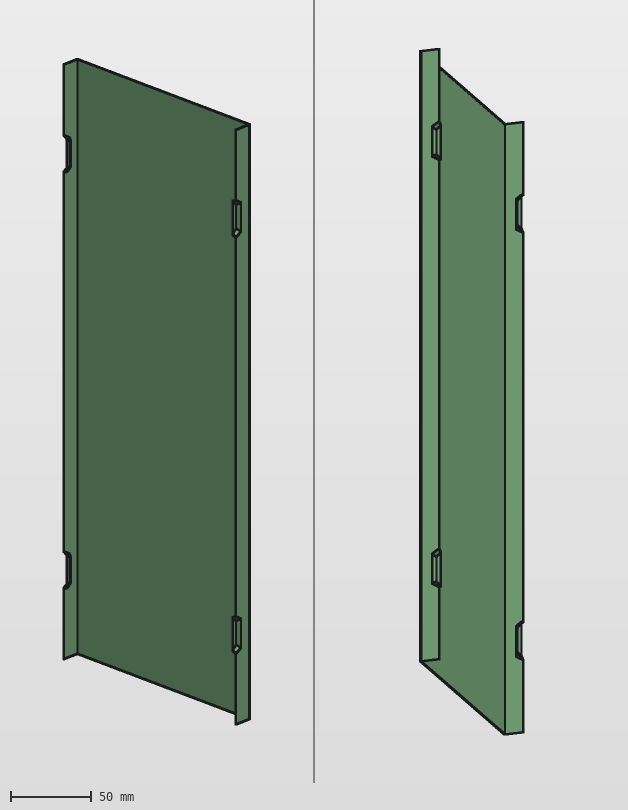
import cadquery as cq

WIDTH = 150.0
DEPTH = 12.5
HEIGHT = 400.0
SHEET = 0.55

DIMPLE_OFFSET = 140.0
DIMPLE_LENGTH = 25.0
DIMPLE_REACH = 4.5
DIMPLE_PRESS = 3.0
END_SLANT = 3.0
WALL_TAPER = 1.5

FREE_EDGE = -DEPTH / 2


def make_channel():
    outside = cq.Workplane("XY").box(WIDTH, DEPTH, HEIGHT)
    inside = (
        cq.Workplane("XY")
        .box(WIDTH - 2 * SHEET, DEPTH, HEIGHT)
        .translate((0, -SHEET, 0))
    )
    return outside.cut(inside)


def dimple_outline(inset):
    """Points (y, z) of the dimple outline, open at the free edge."""
    edge_half = DIMPLE_LENGTH / 2 - inset
    inner_half = edge_half - END_SLANT
    inner_y = FREE_EDGE + DIMPLE_REACH - inset
    return [
        (FREE_EDGE, -edge_half),
        (inner_y, -inner_half),
        (inner_y, inner_half),
        (FREE_EDGE, edge_half),
    ]


def dimple_body(growth, press):
    """Tapered block entering the left flange from its outer face."""
    return (
        cq.Workplane("YZ", origin=(-WIDTH / 2, 0, 0))
        .polyline(dimple_outline(-growth)).close()
        .workplane(offset=press)
        .polyline(dimple_outline(WALL_TAPER - growth)).close()
        .loft(ruled=True)
    )


dimple_shell = dimple_body(SHEET, DIMPLE_PRESS + SHEET)
dimple_hollow = dimple_body(0, DIMPLE_PRESS)

result = make_channel()
for height in (-DIMPLE_OFFSET, DIMPLE_OFFSET):
    left_shell = dimple_shell.translate((0, 0, height))
    left_hollow = dimple_hollow.translate((0, 0, height))
    result = result.union(left_shell).union(left_shell.mirror("YZ"))
    result = result.cut(left_hollow).cut(left_hollow.mirror("YZ"))